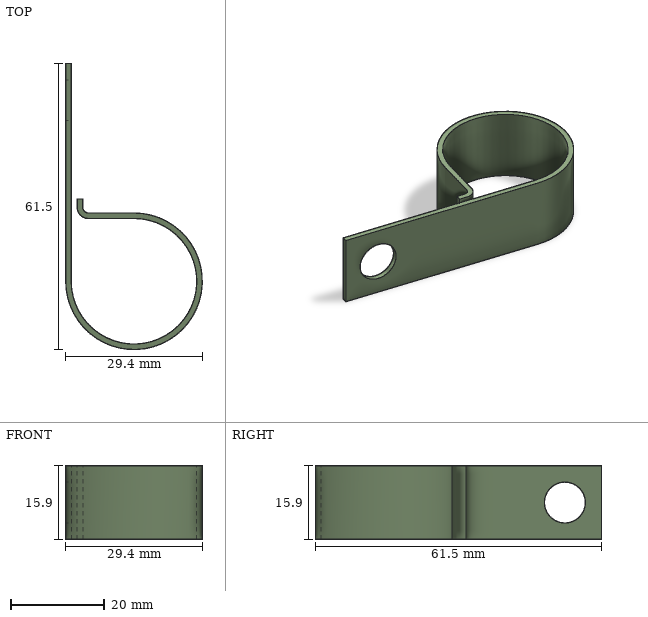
import cadquery as cq
import math

total_length = 61.5
strap_width = 15.9
thickness = 1.2
ring_diameter = 29.4
hole_diameter = 8.75
hole_end_distance = 7.9
lip_gap = 1.2
lip_end_y = 17.7
bend_inner_radius = 1.2

outer_radius = ring_diameter / 2
inner_radius = outer_radius - thickness
tail_end_y = total_length - outer_radius
bend_outer_radius = bend_inner_radius + thickness
lip_left_x = -inner_radius + lip_gap
lip_right_x = lip_left_x + thickness
bend_x = lip_left_x + bend_outer_radius
bend_y = inner_radius + bend_outer_radius
diagonal = math.sqrt(0.5)


def make_strap():
    """Bent strip: straight tail, three-quarter ring, flat run and upturned lip."""
    return (
        cq.Workplane("XY")
        .moveTo(-outer_radius, tail_end_y)
        .lineTo(-outer_radius, 0)
        .threePointArc((outer_radius * diagonal, -outer_radius * diagonal), (0, outer_radius))
        .lineTo(bend_x, outer_radius)
        .threePointArc(
            (bend_x - bend_inner_radius * diagonal, bend_y - bend_inner_radius * diagonal),
            (lip_right_x, bend_y),
        )
        .lineTo(lip_right_x, lip_end_y)
        .lineTo(lip_left_x, lip_end_y)
        .lineTo(lip_left_x, bend_y)
        .threePointArc(
            (bend_x - bend_outer_radius * diagonal, bend_y - bend_outer_radius * diagonal),
            (bend_x, inner_radius),
        )
        .lineTo(0, inner_radius)
        .threePointArc((inner_radius * diagonal, -inner_radius * diagonal), (-inner_radius, 0))
        .lineTo(-inner_radius, tail_end_y)
        .close()
        .extrude(strap_width)
    )


def make_mounting_hole():
    """Cutter for the round hole through the tail."""
    hole_center = (-outer_radius, tail_end_y - hole_end_distance, strap_width / 2)
    return (
        cq.Workplane("YZ", origin=hole_center)
        .circle(hole_diameter / 2)
        .extrude(thickness)
    )


result = make_strap().cut(make_mounting_hole())